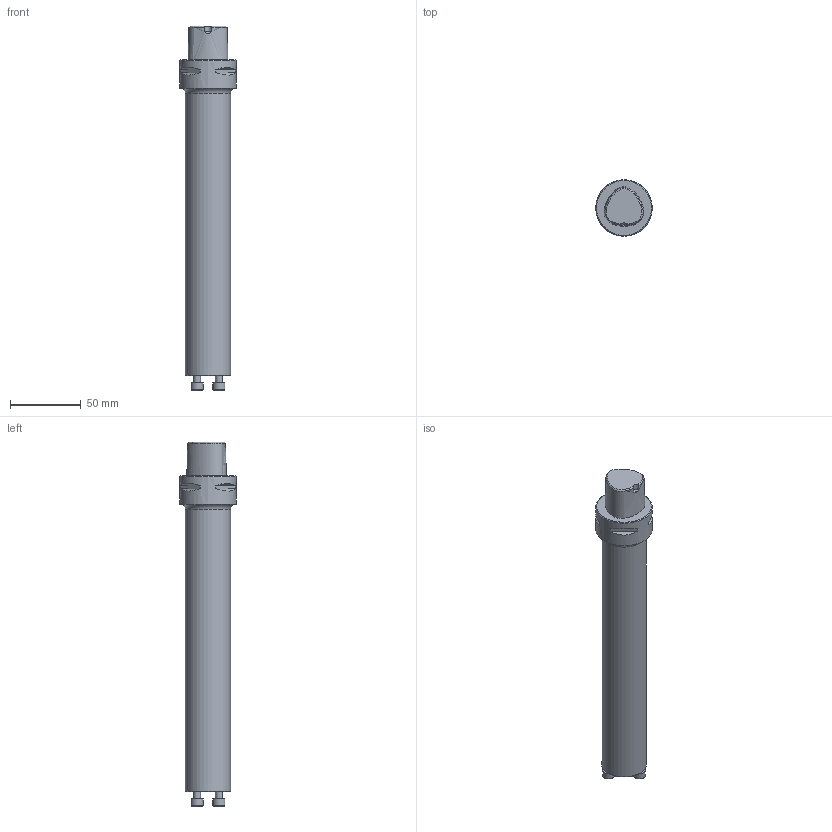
import cadquery as cq
import math

TOTAL_LENGTH = 258.0
SHANK_LENGTH = 24.0
COLLAR_LENGTH = 20.0
PIN_NECK_LENGTH = 5.0
PIN_HEAD_LENGTH = 5.0
BODY_BOTTOM_Z = SHANK_LENGTH + PIN_NECK_LENGTH + PIN_HEAD_LENGTH - TOTAL_LENGTH

COLLAR_RADIUS = 20.0
BODY_RADIUS = 16.0
EDGE_CHAMFER = 0.5
COLLAR_FILLET = COLLAR_RADIUS - BODY_RADIUS

SHANK_BASE_RADIUS = 14.0
SHANK_TAPER = 1 / 40
LOBE_HEIGHT = 1.0
SHANK_CHAMFER = 0.9

MARK_RADIUS = 2.6
MARK_DEPTH = 5.6
MARK_CHAMFER = 1.4
MARK_CENTER_Y = -13.1

GROOVE_COUNT = 4
GROOVE_Z = -8.0
GROOVE_FLOOR_DISTANCE = 17.5
GROOVE_FLOOR_HEIGHT = 2.1
GROOVE_FLANK_ANGLE = 35.0
FIRST_GROOVE_ANGLE = 45.0

PIN_NECK_RADIUS = 5.0 / 2
PIN_HEAD_RADIUS = 8.5 / 2
PIN_CIRCLE_RADIUS = 11.0
PIN_ANGLES = (135.0, 315.0)


def make_collar_and_body():
    """Revolve the collar, its concave fillet and the long body."""
    fillet_end_z = -COLLAR_LENGTH - COLLAR_FILLET
    fillet_offset = COLLAR_FILLET * (1 - math.sqrt(0.5))
    fillet_middle = (BODY_RADIUS + fillet_offset, -COLLAR_LENGTH - fillet_offset)
    return (
        cq.Workplane("XZ")
        .moveTo(0, 0)
        .lineTo(COLLAR_RADIUS - EDGE_CHAMFER, 0)
        .lineTo(COLLAR_RADIUS, -EDGE_CHAMFER)
        .lineTo(COLLAR_RADIUS, -COLLAR_LENGTH)
        .threePointArc(fillet_middle, (BODY_RADIUS, fillet_end_z))
        .lineTo(BODY_RADIUS, BODY_BOTTOM_Z + EDGE_CHAMFER)
        .lineTo(BODY_RADIUS - EDGE_CHAMFER, BODY_BOTTOM_Z)
        .lineTo(0, BODY_BOTTOM_Z)
        .close()
        .revolve(360, (0, 0, 0), (0, 1, 0))
    )


def lobed_wire(mean_radius, z):
    """Closed three-lobed curve with one lobe pointing to +Y."""

    def point(fraction):
        angle = 2 * math.pi * fraction
        x = mean_radius * math.sin(angle) - LOBE_HEIGHT * math.sin(2 * angle)
        y = mean_radius * math.cos(angle) + LOBE_HEIGHT * math.cos(2 * angle)
        return (x, y, z)

    return cq.Workplane("XY").parametricCurve(point, N=60).val()


def make_shank():
    """Tapered lobed shank with a chamfered top edge."""
    chamfer_z = SHANK_LENGTH - SHANK_CHAMFER
    chamfer_radius = SHANK_BASE_RADIUS - SHANK_TAPER * chamfer_z
    base = lobed_wire(SHANK_BASE_RADIUS, 0)
    chamfer_start = lobed_wire(chamfer_radius, chamfer_z)
    top = lobed_wire(chamfer_radius - SHANK_CHAMFER, SHANK_LENGTH)
    taper = cq.Solid.makeLoft([base, chamfer_start], True)
    rim = cq.Solid.makeLoft([chamfer_start, top], True)
    return cq.Workplane(taper).union(cq.Workplane(rim))


def make_index_mark():
    """Cylindrical cutter parallel to Z with a chamfered flat end."""
    return (
        cq.Workplane("XZ", origin=(0, MARK_CENTER_Y, SHANK_LENGTH))
        .moveTo(0, 0)
        .lineTo(MARK_RADIUS, 0)
        .lineTo(MARK_RADIUS, MARK_CHAMFER - MARK_DEPTH)
        .lineTo(MARK_RADIUS - MARK_CHAMFER, -MARK_DEPTH)
        .lineTo(0, -MARK_DEPTH)
        .close()
        .revolve(360, (0, 0, 0), (0, 1, 0))
    )


def make_groove(angle):
    """Straight trapezoidal cutter tangent to the collar at the given angle."""
    depth = COLLAR_RADIUS - GROOVE_FLOOR_DISTANCE
    floor_half = GROOVE_FLOOR_HEIGHT / 2
    mouth_half = floor_half + depth * math.tan(math.radians(GROOVE_FLANK_ANGLE))
    return (
        cq.Workplane("XZ")
        .polyline([
            (GROOVE_FLOOR_DISTANCE, GROOVE_Z - floor_half),
            (COLLAR_RADIUS, GROOVE_Z - mouth_half),
            (COLLAR_RADIUS, GROOVE_Z + mouth_half),
            (GROOVE_FLOOR_DISTANCE, GROOVE_Z + floor_half),
        ])
        .close()
        .extrude(COLLAR_RADIUS, both=True)
        .rotate((0, 0, 0), (0, 0, 1), angle)
    )


def make_pin(angle):
    """Headed pin hanging below the body on the pin circle."""
    x = PIN_CIRCLE_RADIUS * math.cos(math.radians(angle))
    y = PIN_CIRCLE_RADIUS * math.sin(math.radians(angle))
    head_top_z = BODY_BOTTOM_Z - PIN_NECK_LENGTH
    neck = (
        cq.Workplane("XY", origin=(x, y, BODY_BOTTOM_Z))
        .circle(PIN_NECK_RADIUS)
        .extrude(-PIN_NECK_LENGTH)
    )
    head = (
        cq.Workplane("XY", origin=(x, y, head_top_z))
        .circle(PIN_HEAD_RADIUS)
        .extrude(-PIN_HEAD_LENGTH)
        .faces("<Z")
        .chamfer(EDGE_CHAMFER)
    )
    return neck.union(head)


result = make_collar_and_body().union(make_shank()).cut(make_index_mark())
for groove_index in range(GROOVE_COUNT):
    groove_angle = FIRST_GROOVE_ANGLE + groove_index * 360.0 / GROOVE_COUNT
    result = result.cut(make_groove(groove_angle))
for pin_angle in PIN_ANGLES:
    result = result.union(make_pin(pin_angle))